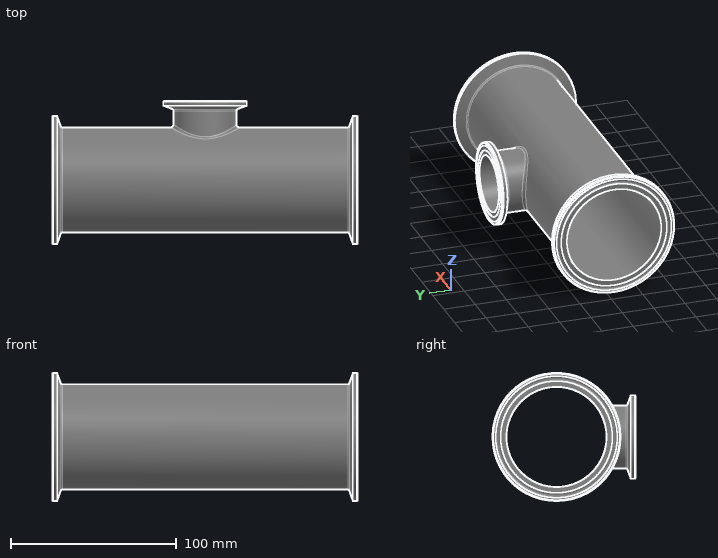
import cadquery as cq
import math

run_length = 184.2
run_outer_radius = 63.5 / 2
run_bore_radius = 60.2 / 2
run_flange_radius = 77.3 / 2

branch_outer_radius = 38.1 / 2
branch_bore_radius = 34.8 / 2
branch_flange_radius = 50.5 / 2
branch_reach = 86.4 - run_flange_radius

rim_thickness = 3.0
rim_chamfer = 0.5
clamp_angle = 20.0
neck_fillet = 1.0

groove_inset = 3.5
groove_width = 3.0
groove_depth = 1.1

tee_fillet = 1.7

select_margin = 0.2


def flanged_tube(length, outer_radius, flange_radius):
    """Solid tube along +Z with its flange face and gasket groove at z = 0."""
    cone_length = (flange_radius - outer_radius) * math.tan(math.radians(clamp_angle))
    neck_z = rim_thickness + cone_length
    groove_radius = flange_radius - groove_inset
    profile = (
        cq.Workplane("XZ")
        .lineTo(groove_radius - groove_width / 2, 0)
        .threePointArc(
            (groove_radius, groove_depth),
            (groove_radius + groove_width / 2, 0),
        )
        .lineTo(flange_radius - rim_chamfer, 0)
        .lineTo(flange_radius, rim_chamfer)
        .lineTo(flange_radius, rim_thickness)
        .lineTo(outer_radius, neck_z)
        .lineTo(outer_radius, length)
        .lineTo(0, length)
        .close()
    )
    tube = profile.revolve(360, (0, 0, 0), (0, 1, 0))
    neck_reach = outer_radius + select_margin
    neck_edge = cq.selectors.BoxSelector(
        (-neck_reach, -neck_reach, neck_z - select_margin),
        (neck_reach, neck_reach, neck_z + select_margin),
        boundingbox=True,
    )
    return tube.edges(neck_edge).fillet(neck_fillet)


left_half = (
    flanged_tube(run_length / 2, run_outer_radius, run_flange_radius)
    .rotate((0, 0, 0), (0, 1, 0), 90)
    .translate((-run_length / 2, 0, 0))
)
run = left_half.union(left_half.mirror("YZ")).clean()

branch = (
    flanged_tube(branch_reach, branch_outer_radius, branch_flange_radius)
    .rotate((0, 0, 0), (1, 0, 0), 90)
    .translate((0, branch_reach, 0))
)

seam_reach = branch_outer_radius + select_margin
seam_box = cq.selectors.BoxSelector(
    (-seam_reach, 0, -seam_reach),
    (seam_reach, run_outer_radius + select_margin, seam_reach),
    boundingbox=True,
)
tee = run.union(branch).edges(seam_box).fillet(tee_fillet)

run_bore = cq.Workplane("YZ").circle(run_bore_radius).extrude(run_length / 2, both=True)
branch_bore = cq.Workplane("XZ").circle(branch_bore_radius).extrude(-branch_reach)

result = tee.cut(run_bore).cut(branch_bore)